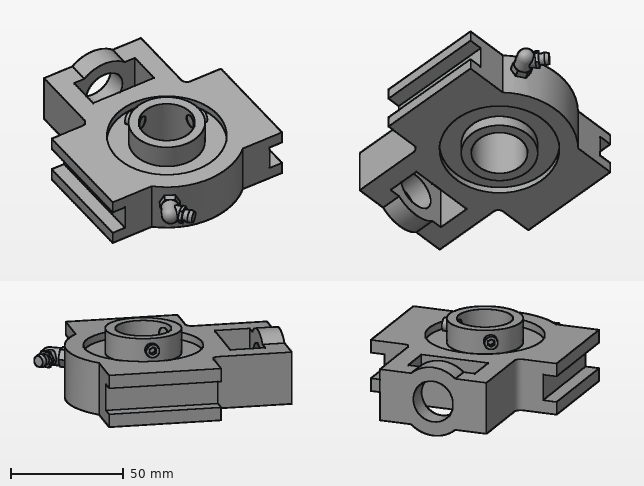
import cadquery as cq
import math


housing_height = 24.0
housing_radius = 35.0
wing_length = 51.0
overall_width = 89.0
inner_corner_radius = 3.0
guide_slot_width = 12.0
guide_slot_depth = 6.5

head_end_x = -62.0
head_width = 51.0
head_wall = 10.0
window_length = 16.0
window_width = 32.0
boss_diameter = 32.0
screw_hole_diameter = 19.0

seat_diameter = 53.35
outer_ring_width = 17.0
inner_ring_diameter = 34.0
bore_diameter = 25.0
inner_ring_top = 19.8
inner_ring_bottom = -14.3

set_screw_diameter = 6.0
set_screw_angles = (90.0, 210.0)
set_screw_z = 14.6
set_screw_start = bore_diameter / 2
set_screw_end = 19.5
socket_across_flats = 3.0
socket_depth = 2.5

nipple_angle = -30.0
nipple_z = 3.25
thread_diameter = 6.0
thread_start = 30.0
stem_hex_across_flats = 8.0
stem_hex_embed = 0.1
stem_hex_start = housing_radius - stem_hex_embed
stem_hex_end = 38.2
stem_diameter = 8.0
elbow_center = 43.65

nozzle_turn = 67.5
nozzle_origin = 41.5
nozzle_base_diameter = 7.0
nozzle_base_end = 5.0
nozzle_hex_across_flats = 7.0
nozzle_hex_end = 6.5
neck_diameter = 5.0
neck_end = 7.2
nozzle_head_diameter = 6.0
nozzle_head_widest = 9.05
nozzle_tip = 11.0
nozzle_tip_diameter = 5.0


def centered_box(x_min, x_max, width, height):
    """Box spanning x_min..x_max, centred on Y = 0 and Z = 0."""
    return cq.Workplane("XY").box(x_max - x_min, width, height).translate(((x_min + x_max) / 2, 0, 0))


def axis_plane(x, y, z, angle):
    """Plane whose normal lies in XY at the given angle, with its own Y direction along Z."""
    direction = math.radians(angle)
    sine = math.sin(direction)
    cosine = math.cos(direction)
    return cq.Plane(origin=(x, y, z), xDir=(-sine, cosine, 0), normal=(cosine, sine, 0))


def rod(plane, diameter, start, end):
    """Cylinder along the plane normal between two distances."""
    return cq.Workplane(plane).workplane(offset=start).circle(diameter / 2).extrude(end - start)


def hex_rod(plane, across_flats, start, end):
    """Hexagonal prism along the plane normal with two corners on the plane's X axis."""
    across_corners = across_flats / math.cos(math.pi / 6)
    return cq.Workplane(plane).workplane(offset=start).polygon(6, across_corners).extrude(end - start)


def make_housing():
    wing_x = wing_length / 2
    window_start = head_end_x + head_wall
    window_end = window_start + window_length

    body = centered_box(head_end_x, wing_x, head_width, housing_height)
    body = body.union(centered_box(-wing_x, wing_x, overall_width, housing_height))
    corner_edges = cq.selectors.BoxSelector(
        (-wing_x - inner_corner_radius, -head_width / 2 - inner_corner_radius, -housing_height),
        (-wing_x + inner_corner_radius, head_width / 2 + inner_corner_radius, housing_height),
    )
    body = body.edges("|Z").edges(corner_edges).fillet(inner_corner_radius)
    body = body.union(cq.Workplane("XY").circle(housing_radius).extrude(housing_height / 2, both=True))

    slot_y = overall_width / 2 - guide_slot_depth / 2
    for side in (-1, 1):
        slot = centered_box(-wing_x, wing_x, guide_slot_depth, guide_slot_width)
        body = body.cut(slot.translate((0, side * slot_y, 0)))

    head_plane = axis_plane(head_end_x, 0, 0, 0)
    body = body.union(rod(head_plane, boss_diameter, 0, head_wall))
    body = body.cut(centered_box(window_start, window_end, window_width, housing_height))
    body = body.cut(rod(head_plane, screw_hole_diameter, 0, head_wall))

    seat_plane = cq.Plane.XY()
    body = body.cut(rod(seat_plane, seat_diameter, outer_ring_width / 2, housing_height / 2))
    return body.cut(rod(seat_plane, seat_diameter, -housing_height / 2, -outer_ring_width / 2))


def add_inner_ring(part):
    ring_plane = cq.Plane.XY()
    part = part.union(rod(ring_plane, inner_ring_diameter, inner_ring_bottom, inner_ring_top))
    part = part.cut(rod(ring_plane, bore_diameter, inner_ring_bottom, inner_ring_top))
    for angle in set_screw_angles:
        plane = axis_plane(0, 0, set_screw_z, angle)
        part = part.cut(rod(plane, set_screw_diameter, 0, set_screw_start))
        part = part.union(rod(plane, set_screw_diameter, set_screw_start, set_screw_end))
        socket_plane = plane.rotated((0, 0, 90))
        socket_start = set_screw_end - socket_depth
        part = part.cut(hex_rod(socket_plane, socket_across_flats, socket_start, set_screw_end))
    return part


def make_nozzle_head(plane):
    """Double cone: widens from the neck to its widest ring, then narrows to the tip."""
    outline = [
        (0, neck_end),
        (neck_diameter / 2, neck_end),
        (nozzle_head_diameter / 2, nozzle_head_widest),
        (nozzle_tip_diameter / 2, nozzle_tip),
        (0, nozzle_tip),
    ]
    radial_plane = cq.Plane(origin=plane.origin, xDir=plane.xDir, normal=plane.xDir.cross(plane.zDir))
    return cq.Workplane(radial_plane).polyline(outline).close().revolve(360, (0, 0), (0, 1))


def make_grease_nipple():
    stem_plane = axis_plane(0, 0, nipple_z, nipple_angle)
    nipple = rod(stem_plane, thread_diameter, thread_start, stem_hex_end)
    nipple = nipple.union(hex_rod(stem_plane, stem_hex_across_flats, stem_hex_start, stem_hex_end))
    nipple = nipple.union(rod(stem_plane, stem_diameter, stem_hex_end, elbow_center))
    elbow_point = stem_plane.toWorldCoords((0, 0, elbow_center))
    nipple = nipple.union(cq.Workplane("XY").sphere(stem_diameter / 2).translate(elbow_point))

    nozzle_start = stem_plane.toWorldCoords((0, 0, nozzle_origin))
    nozzle_plane = axis_plane(nozzle_start.x, nozzle_start.y, nipple_z, nipple_angle + nozzle_turn)
    nipple = nipple.union(rod(nozzle_plane, nozzle_base_diameter, 0, nozzle_base_end))
    nipple = nipple.union(hex_rod(nozzle_plane, nozzle_hex_across_flats, nozzle_base_end, nozzle_hex_end))
    nipple = nipple.union(rod(nozzle_plane, neck_diameter, nozzle_hex_end, neck_end))
    return nipple.union(make_nozzle_head(nozzle_plane))


result = add_inner_ring(make_housing()).union(make_grease_nipple())